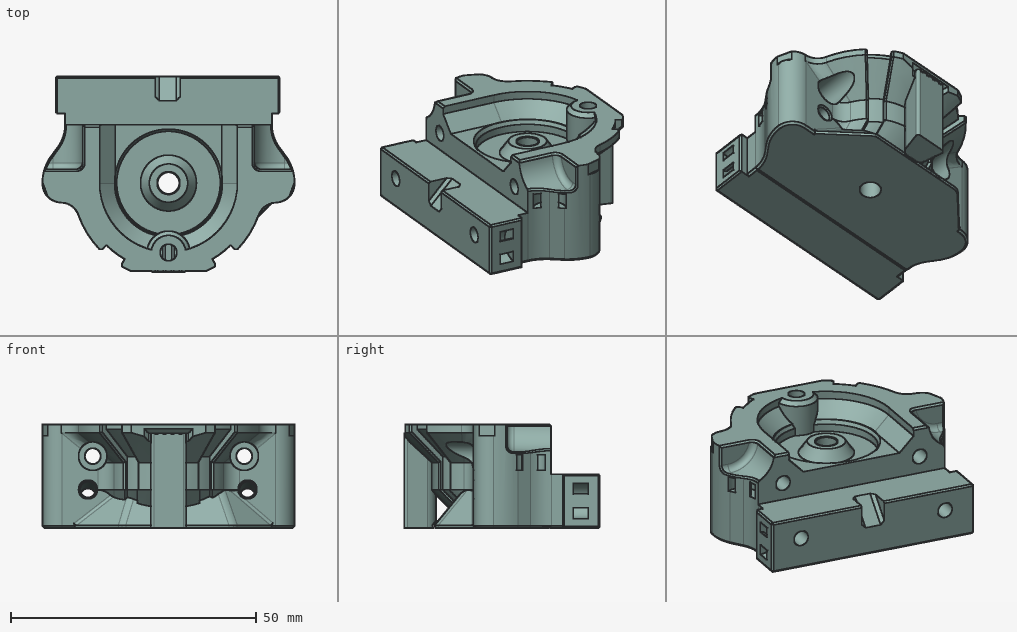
import cadquery as cq
import math

top_z = 21.15
back_y = 11.85
pad_y = -4.0
foot_chamfer = 0.45
far = 30.9

ear_x = 21.75
ear_radius = 4.0
flank_radius = 9.15
neck_half = 21.1
neck_radius = 7.7
flank_angle = 33.5
ear_flat_angle = 20.0
ear_flat_distance = 3.65
ear_flat_bottom = 18.85

block_x = -0.15
block_length = 45.75
block_front = 14.15
block_back = 21.8
block_height = 11.0
block_chamfer = 0.35
groove_half = 2.5
groove_run = 5.0
groove_corner = 0.8

tub_radius = 12.65
rim_radius = 19.5
tub_fillet = 3.7
tub_bottom = 7.8
flare_bottom = 13.35
flare_top = 19.45
foot_drop = 4.65
lip_front = -17.95
notch_start = 30.0
notch_end = 45.0
notch_tub_radius = 11.85
notch_rim_radius = 17.9
notch_flare_bottom = 14.6
notch_flare_top = 20.2
notch_chamfer = 0.35

base_front = -11.95
base_front_left = -9.65
base_front_right = 13.3
base_side_left = -19.15
base_side_right = 21.1
base_edge = 0.6
base_draft = 39.5
base_edge_draft = 15.0
base_rise = 9.25
base_front_fillet = 3.1
base_side_fillet = 0.8

recess_half = 14.05
recess_lip = 1.65
recess_floor = 16.3
bowl_diameter = 21.1
bowl_rim_radius = 11.0
bowl_rim_depth = 0.95
bowl_floor = 13.8
hub_base_radius = 5.7
hub_top_radius = 3.9
hub_hole = 4.4
hub_hole_mouth = 4.7

post_y = -14.15
post_radius = 4.4
post_top_radius = 3.5
post_hole = 3.4
post_hole_depth = 1.65
post_slots = ((2.25, 0.2), (1.25, 0.4))

scoop_wall = 17.45
scoop_front = 2.85
scoop_floor = 15.55
scoop_radius = 6.2
scoop_corner = 1.35
scoop_edge = 0.3
top_chamfer = 0.4

upper_x = 15.45
upper_z = 14.7
upper_hole = 3.2
counterbore = 5.8
counterbore_depth = 5.15
lower_x = 16.25
lower_z = 7.9
lower_hole = 3.2
lower_mouth = 3.85
lower_tilt = 3.1

block_strap_y = (16.3, 19.35)
block_strap_z = 5.55
block_strap_outer = 3.6
block_strap_inner = 1.45
flank_strap_x = 22.65
flank_strap_y = 7.6
flank_strap_z = (11.8, 14.95)
flank_strap_outer = 3.35
flank_strap_inner = 1.8

prop_half = 3.75
prop_waist = 2.7
prop_waist_y = -13.45
prop_front = -18.2
prop_back = -11.65
prop_height = 19.35
prop_shoulder = 18.0
prop_front_fillet = 0.55
prop_gap = 0.4
tooth_pitch = 1.65
tooth_gap = 0.5
tooth_depth = 0.2
pocket_half = 4.95
pocket_top = 20.25


def polar(radius, degrees, centre=(0, 0)):
    """Point on a circle, the angle measured counterclockwise from +X."""
    angle = math.radians(degrees)
    return (centre[0] + radius * math.cos(angle), centre[1] + radius * math.sin(angle))


def both_sides(shape):
    return shape.union(shape.mirror("YZ"))


def block(x, y, z):
    """Box given by its limits along each axis."""
    size = (x[1] - x[0], y[1] - y[0], z[1] - z[0])
    return cq.Workplane("XY").box(*size, centered=False).translate((x[0], y[0], z[0]))


def ruled(lower, upper):
    wires = [lower.wires().val(), upper.wires().val()]
    return cq.Workplane(cq.Solid.makeLoft(wires, True))


def ear_half():
    """Left half of the full-height plan with its ear."""
    flank_centre = (flank_radius - ear_x - ear_radius, 0)
    neck_centre = (-neck_half - neck_radius, back_y)
    ear_centre = (-ear_x, 0)
    neck_middle = polar(neck_radius, -flank_angle / 2, neck_centre)
    neck_end = polar(neck_radius, -flank_angle, neck_centre)
    plan = (
        cq.Workplane("XY").moveTo(0, back_y).lineTo(-neck_half, back_y)
        .threePointArc(neck_middle, neck_end)
        .lineTo(*polar(flank_radius, 180 - flank_angle, flank_centre))
        .threePointArc(polar(flank_radius, 180 - flank_angle / 2, flank_centre), (-ear_x - ear_radius, 0))
        .threePointArc(polar(ear_radius, 225, ear_centre), (-ear_x, pad_y))
        .lineTo(0, pad_y).close()
    )
    return plan.extrude(top_z)


def rear_block():
    left = block_x - block_length / 2
    clamp = block((left, left + block_length), (block_front, block_back), (0, block_height))
    clamp = clamp.faces("<X or >X or >Y").edges().chamfer(block_chamfer)
    neck = block((-neck_half, neck_half), (back_y - 0.5, block_back - block_chamfer), (0, block_height))
    return clamp.union(neck.faces("<Z").edges().chamfer(foot_chamfer))


def tub_outline(radius, z, shift=0):
    """Round tub front, run into the pad face by concave fillets and closed at the back."""
    centre_y = pad_y - tub_fillet
    centre_x = math.sqrt((radius + tub_fillet) ** 2 - centre_y ** 2)
    angle = math.degrees(math.atan2(-centre_y, centre_x))
    left, right = (-centre_x, centre_y), (centre_x, centre_y)
    return (
        cq.Workplane("XY", origin=(0, shift, z)).moveTo(-centre_x, 0).lineTo(-centre_x, pad_y)
        .threePointArc(polar(tub_fillet, (90 + angle) / 2, left), polar(radius, 180 + angle))
        .threePointArc((0, -radius), polar(radius, -angle))
        .threePointArc(polar(tub_fillet, (270 - angle) / 2, right), (centre_x, pad_y))
        .lineTo(centre_x, 0).close()
    )


def notch_sector(z, shift=0):
    """Plan of a left notch in the tub wall."""
    start, end = 270 - notch_end, 270 - notch_start
    return (
        cq.Workplane("XY", origin=(0, shift, z)).moveTo(*polar(notch_tub_radius, start))
        .lineTo(*polar(far, start)).lineTo(*polar(far, end)).lineTo(*polar(notch_tub_radius, end))
        .threePointArc(polar(notch_tub_radius, (start + end) / 2), polar(notch_tub_radius, start)).close()
    )


def on_notch_corner(edge):
    """True for the outer edges along the side walls of the notches."""
    middle = edge.Center()
    from_front = math.degrees(math.atan2(abs(middle.x), -middle.y))
    on_wall = min(abs(from_front - notch_start), abs(from_front - notch_end)) < 0.1
    upright = edge.BoundingBox().zlen > 0.5
    skin = tub_radius + max(0, middle.z - flare_bottom) * (rim_radius - tub_radius) / (flare_top - flare_bottom)
    return on_wall and upright and math.hypot(middle.x, middle.y) > min(skin, rim_radius) - 0.05


def tub():
    """Tub wall that flares out to the rim, with a foot that recedes below it."""
    wall = tub_outline(tub_radius, tub_bottom).extrude(flare_bottom - tub_bottom)
    flare = ruled(tub_outline(tub_radius, flare_bottom), tub_outline(rim_radius, flare_top))
    rim = tub_outline(rim_radius, flare_top).extrude(top_z - flare_top)
    low = tub_bottom - foot_drop
    foot = ruled(tub_outline(tub_radius, low, foot_drop), tub_outline(tub_radius, tub_bottom))
    foot_notch = ruled(notch_sector(low, foot_drop), notch_sector(tub_bottom))
    notch = (
        cq.Workplane("XZ").moveTo(notch_tub_radius, tub_bottom).lineTo(notch_tub_radius, notch_flare_bottom)
        .lineTo(notch_rim_radius, notch_flare_top).lineTo(notch_rim_radius, top_z)
        .lineTo(far, top_z).lineTo(far, tub_bottom).close()
        .revolve(notch_end - notch_start, (0, 0, 0), (0, 1, 0))
    )
    notch = notch.rotate((0, 0, 0), (0, 0, 1), 270 - notch_end)
    upper = wall.union(flare).union(rim).cut(both_sides(notch))
    upper = upper.newObject([e for e in upper.edges().vals() if on_notch_corner(e)]).chamfer(notch_chamfer)
    body = upper.union(foot.cut(both_sides(foot_notch)))
    return body.cut(block((-far, far), (-far, lip_front), (0, top_z)))


def base():
    """Drafted base whose plan reaches far back, so that its sides end inside the housing."""
    plan = (
        cq.Workplane("XY", origin=(0, 0, base_edge))
        .polyline([
            (base_side_left, back_y - 0.5), (base_side_left, pad_y), (base_front_left, base_front),
            (base_front_right, base_front), (base_side_right, pad_y), (base_side_right, back_y - 0.5),
        ]).close()
    )
    slope = plan.extrude(base_rise, taper=base_draft)
    middle_z = base_edge + base_rise / 2
    setback = base_rise / 2 * math.tan(math.radians(base_draft))
    front_y = base_front + setback
    front_corners = cq.selectors.BoxSelector((-far, front_y - 0.5, middle_z - 0.5), (far, front_y + 0.5, middle_z + 0.5))
    slope = slope.edges(front_corners).fillet(base_front_fillet)
    edge = slope.faces("<Z").wires().toPending().workplane().extrude(base_edge, taper=base_edge_draft)
    return slope.union(edge)


def on_base_seam(edge):
    """True for the two slanted edges where the base slope leaves the pad face."""
    box = edge.BoundingBox()
    return box.zlen > base_rise / 2 and box.ylen < 0.005 and box.xlen > 0.5 and abs(box.ymin - pad_y) < 0.005


def bowl():
    """Cutter for the open recess and the round bowl below it, leaving the hub and the screw post."""
    slope_top = top_z - recess_lip
    slope_inset = slope_top - recess_floor

    def recess_plan(half, z):
        return (
            cq.Workplane("XY", origin=(0, 0, z)).moveTo(-half, far).lineTo(-half, 0)
            .threePointArc((0, -half), (half, 0)).lineTo(half, far).close()
        )

    recess = recess_plan(recess_half, slope_top).extrude(recess_lip)
    floor_plan = recess_plan(recess_half - slope_inset, recess_floor)
    recess = recess.union(ruled(floor_plan, recess_plan(recess_half, slope_top)))
    bowl_radius = bowl_diameter / 2
    round_bowl = (
        cq.Workplane("XZ").moveTo(0, bowl_floor).lineTo(bowl_radius, bowl_floor)
        .lineTo(bowl_radius, recess_floor - bowl_rim_depth).lineTo(bowl_rim_radius, recess_floor)
        .lineTo(0, recess_floor).close().revolve()
    )
    hub = (
        cq.Workplane("XZ").moveTo(0, bowl_floor).lineTo(hub_base_radius, bowl_floor)
        .lineTo(hub_top_radius, recess_floor).lineTo(0, recess_floor).close().revolve()
    )
    post = (
        cq.Workplane("XY", origin=(0, post_y, bowl_floor)).circle(post_radius).extrude(top_z - bowl_floor)
        .faces(">Z").edges().chamfer(post_radius - post_top_radius)
    )
    return recess.union(round_bowl).cut(hub).cut(post)


def hub_bore():
    mouth = (hub_hole_mouth - hub_hole) / 2
    bore = cq.Workplane("XY").circle(hub_hole / 2).extrude(recess_floor)
    return bore.union(cq.Workplane("XY", origin=(0, 0, recess_floor - mouth)).circle(hub_hole_mouth / 2).extrude(mouth))


def post_bore():
    floor_z = top_z - post_hole_depth
    bore = cq.Workplane("XY", origin=(0, post_y, floor_z)).circle(post_hole / 2).extrude(post_hole_depth)
    for width, depth in post_slots:
        slot = cq.Workplane("XY", origin=(0, post_y, floor_z - depth)).circle(post_hole / 2).extrude(depth)
        bore = bore.union(slot.intersect(cq.Workplane("XY", origin=(0, post_y, floor_z)).box(width, far, far)))
    return bore


def scoop():
    """Cutter for the left rear corner, its floor rolled up into the inner wall."""
    tool = block((-far, -scoop_wall), (scoop_front, far), (scoop_floor, far))
    tool = tool.cut(scoop_cove())
    tool = tool.faces("<Y").edges().fillet(scoop_corner)
    rim = block((-far, -scoop_wall + top_chamfer), (scoop_front - top_chamfer, far), (top_z - top_chamfer, top_z))
    rim = rim.edges("|Z and >X and <Y").fillet(scoop_corner + top_chamfer)
    rim = rim.faces("<Z").edges("%LINE or %CIRCLE").chamfer(top_chamfer * 0.999)
    return tool.union(rim)


def scoop_cove():
    """Material left under the rolled floor of the left scoop."""
    corner = block((-scoop_wall - scoop_radius, -scoop_wall), (0, far), (scoop_floor, scoop_floor + scoop_radius))
    roll = (
        cq.Workplane("XZ", origin=(-scoop_wall - scoop_radius, 0, scoop_floor + scoop_radius))
        .circle(scoop_radius).extrude(-far)
    )
    return corner.cut(roll)


def rim_chamfer(body):
    """Break the outer edges of both scoop floors, where they meet the flanks."""
    low, high = scoop_floor - 0.25, scoop_floor + 0.5
    start = scoop_front + scoop_corner + 0.05
    for x in ((-far, -neck_half), (neck_half, far)):
        outer = cq.selectors.BoxSelector((x[0], start, low), (x[1], back_y - 0.05, high))
        body = body.edges(outer).edges("not |Y").chamfer(scoop_edge)
    return body


def rear_edge():
    """Chamfer along the top rear edge."""
    return (
        cq.Workplane("YZ", origin=(-far, 0, 0)).moveTo(back_y, top_z).lineTo(back_y - top_chamfer, top_z)
        .lineTo(back_y, top_z - top_chamfer).close().extrude(2 * far)
    )


def ear_flat():
    """Small flat across the outside of the left ear, near its top."""
    tool = block((-far, -ear_flat_distance), (-far, far), (ear_flat_bottom, top_z))
    return tool.rotate((0, 0, 0), (0, 0, 1), ear_flat_angle).translate((-ear_x, 0, 0))


def upper_hole_cut():
    """Counterbored hole of the left side."""
    hole = cq.Workplane("XZ", origin=(-upper_x, -far, upper_z)).circle(upper_hole / 2).extrude(-2 * far)
    seat = cq.Workplane("XZ", origin=(-upper_x, pad_y + counterbore_depth, upper_z))
    return hole.union(seat.circle(counterbore / 2).extrude(far))


def lower_hole_cut():
    """Chamfered hole of the left side, which runs slightly downhill to the back."""
    hole = cq.Workplane("XZ", origin=(0, -0.5, 0)).circle(lower_hole / 2).extrude(-far)
    hole = hole.rotate((0, 0, 0), (1, 0, 0), -lower_tilt)
    mouth_depth = (lower_mouth - lower_hole) / 2
    mouth = cq.Solid.makeCone(
        lower_mouth / 2, lower_hole / 2, mouth_depth, cq.Vector(0, 0, 0), cq.Vector(0, 1, 0)
    )
    return hole.union(cq.Workplane(mouth)).translate((-lower_x, pad_y, lower_z))


def strap_channels():
    """Curved channels for tie straps: one in each end of the block and one in each flank."""
    low, high = block_strap_y
    end = block_length / 2
    ends = (
        cq.Workplane("XZ", origin=(block_x, low, block_strap_z)).pushPoints([(-end, 0), (end, 0)])
        .circle(block_strap_outer).circle(block_strap_inner).extrude(low - high)
    )
    low, high = flank_strap_z
    flanks = (
        cq.Workplane("XY", origin=(0, flank_strap_y, low)).pushPoints([(-flank_strap_x, 0), (flank_strap_x, 0)])
        .circle(flank_strap_outer).circle(flank_strap_inner).extrude(high - low)
    )
    return ends.union(flanks)


def rear_groove():
    """Groove that slopes down to the rear edge of the block, its lower corners cut off."""
    front = block_back - groove_run
    inner = groove_half - groove_corner
    section = [
        (-inner, 0), (inner, 0), (groove_half, groove_corner), (groove_half, far),
        (-groove_half, far), (-groove_half, groove_corner),
    ]
    lower = cq.Workplane("XZ", origin=(block_x, front, block_height)).polyline(section).close()
    upper = cq.Workplane("XZ", origin=(block_x, front + far, block_height - far)).polyline(section).close()
    return ruled(lower, upper)


def lip_pocket():
    """Pocket under the lip that takes the head of the prop."""
    depth = pocket_top - prop_height
    mouth = cq.Workplane("XZ", origin=(0, lip_front, 0)).center(0, pocket_top / 2).rect(2 * pocket_half, pocket_top)
    pocket = mouth.extrude(-depth, taper=45)
    return pocket.intersect(block((-far, far), (-far, far), (flare_bottom, top_z)))


def make_housing():
    ears = both_sides(ear_half())
    ears = ears.faces("<Z").edges().chamfer(foot_chamfer)
    body = ears.union(base())
    body = body.newObject([edge for edge in body.edges().vals() if on_base_seam(edge)]).fillet(base_side_fillet)
    body = body.union(tub()).union(rear_block())
    body = body.cut(bowl()).cut(hub_bore()).cut(post_bore()).cut(rear_edge())
    for side_cut in (scoop(), ear_flat(), upper_hole_cut()):
        body = body.cut(both_sides(side_cut))
    body = rim_chamfer(body)
    body = body.cut(both_sides(lower_hole_cut()).translate((block_x, 0, 0)))
    return body.cut(strap_channels()).cut(rear_groove()).cut(lip_pocket())


def make_prop(housing):
    """Loose upright under the lip, fitted to the flare and clear of the base."""
    head_back = lip_front + pocket_top - prop_height
    side = (
        cq.Workplane("YZ", origin=(-prop_half, 0, 0)).moveTo(prop_front, 0).lineTo(prop_front, prop_height)
        .lineTo(head_back, prop_height).lineTo(head_back, prop_shoulder).lineTo(prop_back, flare_bottom)
        .lineTo(prop_back, 0).close().extrude(2 * prop_half)
    )
    plan = (
        cq.Workplane("XY").moveTo(-prop_half, prop_front).lineTo(prop_half, prop_front)
        .lineTo(prop_waist, prop_waist_y).threePointArc((0, prop_back), (-prop_waist, prop_waist_y)).close()
    )
    prop = plan.extrude(prop_height).edges("|Z and <Y").fillet(prop_front_fillet).intersect(side)
    for step in (-1.5, -0.5, 0.5, 1.5):
        x = step * tooth_pitch
        prop = prop.cut(block((x - tooth_gap / 2, x + tooth_gap / 2), (-far, 0), (prop_height - tooth_depth, far)))
    return prop.cut(base().translate((0, -prop_gap, 0))).cut(housing)


housing = make_housing()
prop = make_prop(housing)
result = cq.Compound.makeCompound([*housing.solids().vals(), *prop.solids().vals()])